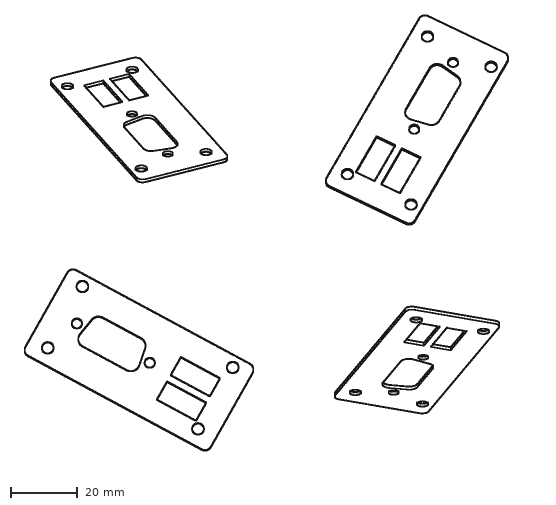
import cadquery as cq
import math

length = 63.5
width = 30.0
thickness = 1.1
corner_radius = 2.05

centre_line_y = -0.75

mount_diameter = 3.5
mount_spacing_x = 51.45
mount_spacing_y = 21.5

connector_x = 9.2
connector_height = 10.65
connector_mid_width = 19.35
connector_side_angle = 10.0
connector_radius = 2.6
screw_diameter = 3.05
screw_spacing = 24.95

window_x = -17.3
window_length = 13.4
window_height = 6.35
window_pitch = 8.6
upper_window_y = 4.95


def make_plate():
    plate = cq.Workplane("XY").box(length, width, thickness)
    return plate.edges("|Z").fillet(corner_radius)


def mount_holes():
    return (
        cq.Workplane("XY")
        .center(0, centre_line_y)
        .rect(mount_spacing_x, mount_spacing_y, forConstruction=True)
        .vertices()
        .circle(mount_diameter / 2)
        .extrude(thickness, both=True)
    )


def connector_opening():
    half_height = connector_height / 2
    flare = half_height * math.tan(math.radians(connector_side_angle))
    top_half = connector_mid_width / 2 + flare
    bottom_half = connector_mid_width / 2 - flare
    return (
        cq.Workplane("XY")
        .center(connector_x, centre_line_y)
        .polyline([
            (-top_half, half_height),
            (top_half, half_height),
            (bottom_half, -half_height),
            (-bottom_half, -half_height),
        ])
        .close()
        .extrude(thickness, both=True)
        .edges("|Z")
        .fillet(connector_radius)
    )


def screw_holes():
    return (
        cq.Workplane("XY")
        .center(connector_x, centre_line_y)
        .pushPoints([(-screw_spacing / 2, 0), (screw_spacing / 2, 0)])
        .circle(screw_diameter / 2)
        .extrude(thickness, both=True)
    )


def windows():
    return (
        cq.Workplane("XY")
        .center(window_x, upper_window_y)
        .pushPoints([(0, 0), (0, -window_pitch)])
        .rect(window_length, window_height)
        .extrude(thickness, both=True)
    )


result = make_plate()
for opening in (mount_holes(), connector_opening(), screw_holes(), windows()):
    result = result.cut(opening)